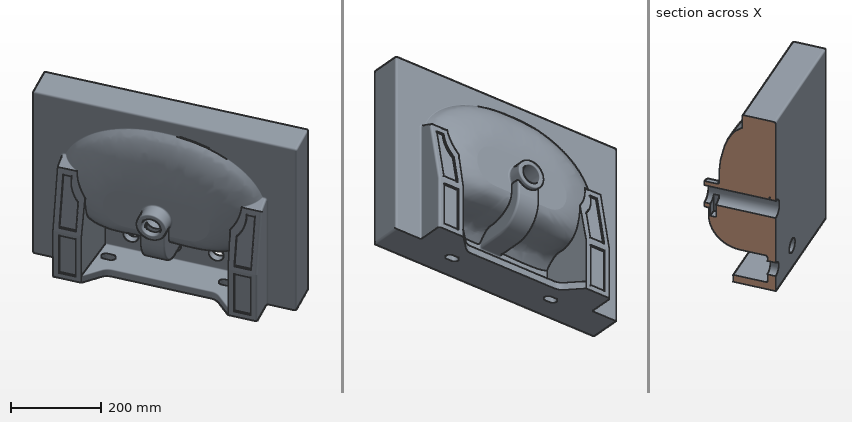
import cadquery as cq
import math


PICK_MARGIN = 0.3

SLAB_WIDTH = 620.0
SLAB_LENGTH = 455.0
SLAB_DEPTH = 80.0
SLAB_FILLET = 5.0

LEG_OUTER_X = 240.0
LEG_INNER_X = 150.0
LEG_DEPTH = 145.0
LEG_KNEE_Z = 130.0
LEG_CREST_DEPTH = 114.0
LEG_CREST_Z = 287.0
LEG_TOP_Z = 300.0
LEG_EDGE_FILLET = 5.0
LEG_ROOT_FILLET = 4.0
LEG_ROOT_OVERLAP = 20.0

POCKET_DEPTH = 5.0
POCKET_OUTER_X = 225.0
POCKET_INNER_X = 185.5
LOWER_POCKET_Z = (14.0, 120.0)
UPPER_POCKET_Z = (140.0, 271.0)
UPPER_POCKET_WAIST_Z = 212.0
UPPER_POCKET_ARC_MID = (201.5, 240.0)
UPPER_POCKET_TOP_X = 205.0

TAP_DECK_THICKNESS = 20.0
RECESS_HALF_WIDTH_FLOOR = 160.0
RECESS_HALF_WIDTH_FRONT = 172.0
RECESS_TOP_Z = 225.0
RECESS_FILLET = 3.0
PLATE_THICKNESS = 20.0
PLATE_DEPTH = 102.0
PLATE_CORNER_RADIUS = 30.0
PLATE_EDGE_FILLET = 3.0

TAP_HOLE_DIAMETER = 35.0
TAP_HOLE_SPACING = 100.0
TAP_HOLE_Z = 59.0
WALL_SLOT_LENGTH = 33.0
WALL_SLOT_WIDTH = 20.0
WALL_SLOT_X = 138.0
WALL_SLOT_POSITION_DEPTH = 61.0

BOWL_DEPTH = 135.0
BOWL_FLAT_HALF_WIDTH = 125.0
BOWL_FLAT_LOW_Z = 177.0
BOWL_FLAT_HIGH_Z = 277.0
BOWL_FLAT_RADIUS = (BOWL_FLAT_HIGH_Z - BOWL_FLAT_LOW_Z) / 2
BOWL_FLAT_STRAIGHT = BOWL_FLAT_HALF_WIDTH - BOWL_FLAT_RADIUS
BOWL_RIM_FILLET = 2.0
BOWL_SIDE_GROWTH = 118.0
BOWL_SIDE_EXPONENT = 1.3
BOWL_UPPER_GROWTH = 147.0
BOWL_UPPER_RISE = 72.0
BOWL_LOWER_GROWTH = 48.0
BOWL_LOWER_RISE = 75.0
BOWL_FLARE_DROP = 30.0
BOWL_RISE = BOWL_DEPTH - TAP_DECK_THICKNESS
BOWL_WIDEST_SHIFT = 32.0
BOWL_RIM_TOP_STRAIGHT = 4.0
BOWL_RIM_BOTTOM_STRAIGHT = 130.0
ARC_STEPS = 6
BOWL_SECTIONS = 7
FLARE_SECTIONS = 4

DRAIN_Z = 220.0
DRAIN_RADIUS = 35.0
DRAIN_DEPTH = 170.0
DRAIN_BORE_RADIUS = 22.5
DRAIN_BORE_FILLET = 2.0
DRAIN_EDGE_FILLET = 3.0
DRAIN_ROOT_FILLET = 4.0

OVERFLOW_HALF_WIDTH = 29.0
OVERFLOW_DEPTH = 160.0
OVERFLOW_ARC_RADIUS = 75.0
OVERFLOW_ARC_TOP_Z = 165.0
OVERFLOW_EDGE_FILLET = 5.0
OVERFLOW_ROOT_FILLET = 5.0
OVERFLOW_CAVITY_HALF_WIDTH = 20.0
OVERFLOW_CAVITY_DEPTHS = (142.0, 155.0)


def both_sides(body):
    """Return the body together with its mirror image across x = 0."""
    return body.union(body.mirror("YZ"))


def prism_along_x(profile, x_start, x_end):
    """Extrude a list of (y, z) points from x_start to x_end."""
    sketch = cq.Workplane("YZ", origin=(x_start, 0, 0)).polyline(profile).close()
    return sketch.extrude(x_end - x_start)


def cylinder_along_y(x, z, radius, depth_start, depth_end):
    """Cylinder running toward -Y between two depths below the deck face."""
    sketch = cq.Workplane("XZ", origin=(x, -depth_start, z)).circle(radius)
    return sketch.extrude(depth_end - depth_start)


def box_edges(x_range, depth_range, z_range):
    """Selector for the edges centred inside a box given in x, depth and z."""
    return cq.selectors.BoxSelector(
        (x_range[0], -depth_range[0], z_range[0]), (x_range[1], -depth_range[1], z_range[1])
    )


def around(value):
    """Narrow range that catches an edge lying at the given value."""
    return (value - PICK_MARGIN, value + PICK_MARGIN)


def make_slab():
    """Deck slab, rounded along its sides and its top end."""
    slab = cq.Workplane("XY").box(SLAB_WIDTH, SLAB_DEPTH, SLAB_LENGTH, centered=(True, False, False))
    slab = slab.translate((0, -SLAB_DEPTH, 0))
    return slab.faces("<X or >X or >Z").edges().fillet(SLAB_FILLET)


def leg_profile(shift=0.0):
    """(y, z) outline of a leg, optionally moved back toward the deck."""
    root_y = LEG_ROOT_OVERLAP - SLAB_DEPTH
    points = [
        (root_y, 0),
        (-LEG_DEPTH, 0),
        (-LEG_DEPTH, LEG_KNEE_Z),
        (-LEG_CREST_DEPTH, LEG_CREST_Z),
        (-SLAB_DEPTH, LEG_TOP_Z),
        (root_y, LEG_TOP_Z),
    ]
    return [(y + shift, z) for y, z in points]


def make_leg_pockets():
    """Two pockets whose floors run parallel to the leg front."""
    low_z, high_z = LOWER_POCKET_Z
    lower = (
        cq.Workplane("XZ")
        .moveTo(POCKET_INNER_X, low_z)
        .lineTo(POCKET_OUTER_X, low_z)
        .lineTo(POCKET_OUTER_X, high_z)
        .lineTo(POCKET_INNER_X, high_z)
        .close()
        .extrude(DRAIN_DEPTH)
    )
    low_z, high_z = UPPER_POCKET_Z
    upper = (
        cq.Workplane("XZ")
        .moveTo(POCKET_INNER_X, low_z)
        .lineTo(POCKET_OUTER_X, low_z)
        .lineTo(POCKET_OUTER_X, high_z)
        .lineTo(UPPER_POCKET_TOP_X, high_z)
        .threePointArc(UPPER_POCKET_ARC_MID, (POCKET_INNER_X, UPPER_POCKET_WAIST_Z))
        .close()
        .extrude(DRAIN_DEPTH)
    )
    floor = prism_along_x(leg_profile(POCKET_DEPTH), LEG_INNER_X, LEG_OUTER_X)
    deck_side = cq.Workplane("XY").box(LEG_OUTER_X, SLAB_DEPTH, SLAB_LENGTH, centered=False)
    deck_side = deck_side.translate((0, -SLAB_DEPTH, 0))
    return lower.union(upper).cut(floor).cut(deck_side)


def make_leg():
    """Tapering leg on the +X side with rounded outer edges."""
    leg = prism_along_x(leg_profile(), LEG_INNER_X, LEG_OUTER_X)
    outer_edges = box_edges(
        around(LEG_OUTER_X), (SLAB_DEPTH, LEG_DEPTH + PICK_MARGIN), (PICK_MARGIN, LEG_TOP_Z)
    )
    leg = leg.edges(outer_edges).fillet(LEG_EDGE_FILLET)
    return leg.cut(make_leg_pockets())


def make_plate_notch():
    """Opening in front of the wall plate, between the feet of the legs."""
    step = LEG_DEPTH - PLATE_DEPTH
    flat_half = RECESS_HALF_WIDTH_FRONT - step
    notch = (
        cq.Workplane("XY")
        .polyline(
            [
                (-flat_half, -PLATE_DEPTH),
                (flat_half, -PLATE_DEPTH),
                (RECESS_HALF_WIDTH_FRONT, -LEG_DEPTH),
                (-RECESS_HALF_WIDTH_FRONT, -LEG_DEPTH),
            ]
        )
        .close()
        .extrude(PLATE_THICKNESS)
    )
    return notch.faces(">Y").edges("|Z").fillet(PLATE_CORNER_RADIUS)


def make_wall_plate():
    """Plate along the wall between the legs, stopping short of their fronts."""
    plate = cq.Workplane("XY").box(
        2 * RECESS_HALF_WIDTH_FRONT, LEG_DEPTH, PLATE_THICKNESS, centered=(True, False, False)
    )
    return plate.translate((0, -LEG_DEPTH, 0))


def make_recess():
    """Space between the legs, its sides leaning outward toward the front."""
    recess = (
        cq.Workplane("XY", origin=(0, 0, PLATE_THICKNESS))
        .polyline(
            [
                (-RECESS_HALF_WIDTH_FLOOR, -TAP_DECK_THICKNESS),
                (RECESS_HALF_WIDTH_FLOOR, -TAP_DECK_THICKNESS),
                (RECESS_HALF_WIDTH_FRONT, -LEG_DEPTH),
                (-RECESS_HALF_WIDTH_FRONT, -LEG_DEPTH),
            ]
        )
        .close()
        .extrude(RECESS_TOP_Z - PLATE_THICKNESS)
    )
    return recess.faces(">Y").edges("<Z").fillet(RECESS_FILLET)


def quarter_swell(depth_fraction):
    """Quarter-ellipse growth from 0 to 1 as the fraction goes from 0 to 1."""
    return math.sqrt(1 - (1 - min(depth_fraction, 1)) ** 2)


def quarter_arc(center, span_x, span_z):
    """Points of a quarter ellipse from straight above or below its centre to its side."""
    center_x, center_z = center
    points = []
    for step in range(ARC_STEPS + 1):
        angle = math.pi / 2 * step / ARC_STEPS
        points.append((center_x + span_x * math.sin(angle), center_z + span_z * math.cos(angle)))
    return points


def bowl_section(rise):
    """Closed wire of the bowl at a given height above its flat bottom."""
    swell = quarter_swell(rise / BOWL_UPPER_RISE)
    half_width = BOWL_FLAT_HALF_WIDTH + BOWL_SIDE_GROWTH * swell**BOWL_SIDE_EXPONENT
    top_z = BOWL_FLAT_HIGH_Z + BOWL_UPPER_GROWTH * swell
    middle_z = BOWL_FLAT_LOW_Z + BOWL_FLAT_RADIUS + BOWL_WIDEST_SHIFT * swell
    flare = BOWL_FLARE_DROP * max(rise - BOWL_LOWER_RISE, 0) ** 2 / (BOWL_RISE - BOWL_LOWER_RISE) ** 2
    bottom_z = BOWL_FLAT_LOW_Z - BOWL_LOWER_GROWTH * quarter_swell(rise / BOWL_LOWER_RISE) - flare
    top_half = BOWL_FLAT_STRAIGHT + (BOWL_RIM_TOP_STRAIGHT - BOWL_FLAT_STRAIGHT) * swell
    bottom_half = BOWL_FLAT_STRAIGHT + (BOWL_RIM_BOTTOM_STRAIGHT - BOWL_FLAT_STRAIGHT) * swell
    y = rise - BOWL_DEPTH

    right_half = [(bottom_half / 2, bottom_z)]
    right_half += quarter_arc((bottom_half, middle_z), half_width - bottom_half, bottom_z - middle_z)
    upper_arc = quarter_arc((top_half, middle_z), half_width - top_half, top_z - middle_z)
    right_half += upper_arc[-2::-1]
    right_half.append((top_half / 2, top_z))
    left_half = [(-x, z) for x, z in reversed(right_half)]
    outline = [(0, bottom_z)] + right_half + [(0, top_z)] + left_half
    points = [cq.Vector(x, y, z) for x, z in outline]
    return cq.Wire.assembleEdges([cq.Edge.makeSpline(points, periodic=True)])


def make_bowl():
    """Loft from the flat bottom through the rim to the flare on the tap deck."""
    rises = []
    for step in range(BOWL_SECTIONS):
        angle = math.pi / 2 * step / (BOWL_SECTIONS - 1)
        rises.append(BOWL_UPPER_RISE * (1 - math.cos(angle)))
    for step in range(1, FLARE_SECTIONS + 1):
        rises.append(BOWL_UPPER_RISE + (BOWL_RISE - BOWL_UPPER_RISE) * step / FLARE_SECTIONS)
    return cq.Workplane(cq.Solid.makeLoft([bowl_section(rise) for rise in rises]))


def make_overflow():
    """Channel block that curves from the drain back to the tap deck."""
    arc_center_y = OVERFLOW_ARC_RADIUS - OVERFLOW_DEPTH
    bottom_z = OVERFLOW_ARC_TOP_Z - OVERFLOW_ARC_RADIUS
    diagonal = OVERFLOW_ARC_RADIUS * math.sqrt(0.5)
    channel = (
        cq.Workplane("YZ", origin=(-OVERFLOW_HALF_WIDTH, 0, 0))
        .moveTo(-TAP_DECK_THICKNESS, DRAIN_Z)
        .lineTo(-OVERFLOW_DEPTH, DRAIN_Z)
        .lineTo(-OVERFLOW_DEPTH, OVERFLOW_ARC_TOP_Z)
        .threePointArc(
            (arc_center_y - diagonal, OVERFLOW_ARC_TOP_Z - diagonal), (arc_center_y, bottom_z)
        )
        .lineTo(-TAP_DECK_THICKNESS, bottom_z)
        .close()
        .extrude(2 * OVERFLOW_HALF_WIDTH)
    )
    bottom_clearance = bottom_z + PICK_MARGIN
    front_edges = box_edges(
        (-OVERFLOW_HALF_WIDTH - PICK_MARGIN, OVERFLOW_HALF_WIDTH + PICK_MARGIN),
        (-arc_center_y, OVERFLOW_DEPTH + PICK_MARGIN),
        (bottom_clearance, DRAIN_Z - PICK_MARGIN),
    )
    return channel.edges("|Z or %CIRCLE").edges(front_edges).fillet(OVERFLOW_EDGE_FILLET)


def make_drain():
    """Drain stub with a rounded end and a concave root on the bowl bottom."""
    root_radius = DRAIN_RADIUS + DRAIN_ROOT_FILLET
    root_top = BOWL_DEPTH + DRAIN_ROOT_FILLET
    inset = DRAIN_ROOT_FILLET * (1 - math.sqrt(0.5))
    profile = (
        cq.Workplane("XY", origin=(0, 0, DRAIN_Z))
        .moveTo(0, -SLAB_DEPTH)
        .lineTo(root_radius, -SLAB_DEPTH)
        .lineTo(root_radius, -BOWL_DEPTH)
        .threePointArc((DRAIN_RADIUS + inset, -BOWL_DEPTH - inset), (DRAIN_RADIUS, -root_top))
        .lineTo(DRAIN_RADIUS, -DRAIN_DEPTH)
        .lineTo(0, -DRAIN_DEPTH)
        .close()
    )
    stub = profile.revolve(360, (0, 0, 0), (0, 1, 0))
    return stub.faces("<Y").edges().fillet(DRAIN_EDGE_FILLET)


def make_overflow_cavity():
    """Hollow of the overflow channel, open to the lower side of the drain bore."""
    back, front = OVERFLOW_CAVITY_DEPTHS
    cavity = cq.Workplane("XY").box(
        2 * OVERFLOW_CAVITY_HALF_WIDTH,
        front - back,
        DRAIN_Z - OVERFLOW_ARC_TOP_Z,
        centered=(True, False, False),
    )
    return cavity.translate((0, -front, OVERFLOW_ARC_TOP_Z))


def make_holes():
    """Tap holes, drain bore with the overflow cavity, and wall fixing slots."""
    holes = cylinder_along_y(0, DRAIN_Z, DRAIN_BORE_RADIUS, 0, DRAIN_DEPTH).union(make_overflow_cavity())
    for position in (-1, 0, 1):
        tap_x = position * TAP_HOLE_SPACING
        holes = holes.union(cylinder_along_y(tap_x, TAP_HOLE_Z, TAP_HOLE_DIAMETER / 2, 0, SLAB_DEPTH))
    slots = (
        cq.Workplane("XY")
        .pushPoints([(-WALL_SLOT_X, -WALL_SLOT_POSITION_DEPTH), (WALL_SLOT_X, -WALL_SLOT_POSITION_DEPTH)])
        .slot2D(WALL_SLOT_LENGTH, WALL_SLOT_WIDTH)
        .extrude(PLATE_THICKNESS)
    )
    return holes.union(slots)


def make_frame():
    """Slab, legs and wall plate with the tap recess taken out."""
    frame = make_slab().union(both_sides(make_leg())).union(make_wall_plate())
    frame = frame.cut(make_recess()).cut(make_plate_notch())
    plate_front = box_edges(
        (-RECESS_HALF_WIDTH_FRONT, RECESS_HALF_WIDTH_FRONT),
        (PLATE_DEPTH - PICK_MARGIN, LEG_DEPTH),
        around(PLATE_THICKNESS),
    )
    frame = frame.edges(plate_front).fillet(PLATE_EDGE_FILLET)
    for leg_x in (-LEG_OUTER_X, LEG_OUTER_X):
        root = box_edges(around(leg_x), around(SLAB_DEPTH), (0, LEG_TOP_Z))
        frame = frame.edges(root).fillet(LEG_ROOT_FILLET)
    return frame


def round_bowl_rim(body):
    """Small fillet where the upper bowl meets the slab."""
    highest_z = SLAB_LENGTH - SLAB_FILLET - PICK_MARGIN
    rim = box_edges((-LEG_INNER_X, LEG_INNER_X), around(SLAB_DEPTH), (LEG_TOP_Z, highest_z))
    return body.edges(rim).fillet(BOWL_RIM_FILLET)


def round_overflow_root(body):
    """Fillet around the foot of the overflow channel on the tap deck."""
    foot_z = OVERFLOW_ARC_TOP_Z - OVERFLOW_ARC_RADIUS
    reach = OVERFLOW_HALF_WIDTH + OVERFLOW_ROOT_FILLET
    z_range = (foot_z - PICK_MARGIN, foot_z + 2 * OVERFLOW_ROOT_FILLET)
    foot = box_edges((-reach, reach), around(TAP_DECK_THICKNESS), z_range)
    return body.edges(foot).fillet(OVERFLOW_ROOT_FILLET)


def round_bore_mouth(body):
    """Fillet on the outer end of the drain bore."""
    mouth = body.faces("<Y").edges(cq.selectors.RadiusNthSelector(0))
    return mouth.fillet(DRAIN_BORE_FILLET)


body = make_frame().union(make_bowl())
body = round_bowl_rim(body)
body = body.union(make_overflow().union(make_drain()))
body = round_overflow_root(body)
body = body.cut(make_holes())
result = round_bore_mouth(body)